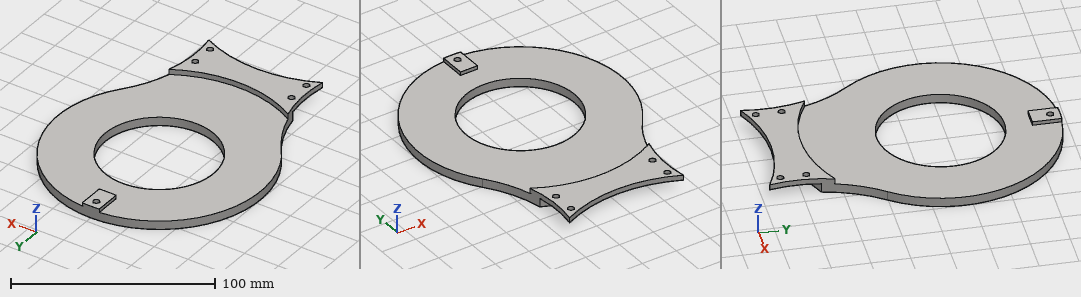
import cadquery as cq
import math

body_thickness = 5.0
body_radius = 60.0
opening_diameter = 64.0
body_end_radius = 75.0

plate_thickness = 3.0
plate_start_radius = 70.0
plate_center_y = -80.0
plate_end_radius = 75.0
plate_end_center_y = 2 * plate_center_y
waist_radius = 70.0

tab_width = 10.0
tab_length = 15.0
tab_thickness = 2.0
tab_hole_edge_distance = 5.0

screw_hole_diameter = 3.4
plate_hole_spacing_x = 57.0
plate_hole_spacing_y = 13.0

total_height = body_thickness + plate_thickness
waist_center_x = math.sqrt((body_radius + waist_radius) ** 2 - plate_center_y**2)
tangent_share = body_radius / (body_radius + waist_radius)
tangent_x = waist_center_x * tangent_share
tangent_y = plate_center_y * tangent_share

corner_center_distance = math.hypot(waist_center_x, plate_center_y - plate_end_center_y)
corner_along = (
    plate_end_radius**2 - waist_radius**2 + corner_center_distance**2
) / (2 * corner_center_distance)
corner_angle = math.atan2(plate_center_y - plate_end_center_y, waist_center_x) + math.acos(
    corner_along / plate_end_radius
)
corner_x = plate_end_radius * math.cos(corner_angle)
corner_y = plate_end_center_y + plate_end_radius * math.sin(corner_angle)


def waist_point(y):
    """Point on the right-hand waist arc at height y of the outline."""
    x = waist_center_x - math.sqrt(waist_radius**2 - (y - plate_center_y) ** 2)
    return (x, y)


def disc(radius, height):
    return cq.Workplane("XY").circle(radius).extrude(height)


def full_outline(height):
    """Ring, waisted neck and concave end, extruded from the bottom face."""
    right_mid = waist_point((tangent_y + corner_y) / 2)
    return (
        cq.Workplane("XY")
        .moveTo(tangent_x, tangent_y)
        .threePointArc((0, body_radius), (-tangent_x, tangent_y))
        .threePointArc((-right_mid[0], right_mid[1]), (-corner_x, corner_y))
        .threePointArc((0, plate_end_center_y + plate_end_radius), (corner_x, corner_y))
        .threePointArc(right_mid, (tangent_x, tangent_y))
        .close()
        .extrude(height)
    )


def make_body():
    body = full_outline(body_thickness).intersect(disc(body_end_radius, body_thickness))
    return body.cut(disc(opening_diameter / 2, body_thickness))


def make_plate():
    plate = full_outline(plate_thickness).cut(disc(plate_start_radius, plate_thickness))
    return plate.translate((0, 0, body_thickness))


def make_tab():
    """Rectangular tab whose outer end follows the ring's edge."""
    tab = (
        cq.Workplane("XY")
        .center(0, body_radius - tab_length / 2)
        .rect(tab_width, tab_length)
        .extrude(tab_thickness)
        .intersect(disc(body_radius, tab_thickness))
    )
    return tab.translate((0, 0, body_thickness))


def make_screw_holes():
    """Through-holes: four in the plate and one in the tab."""
    plate_holes = [
        (side_x * plate_hole_spacing_x / 2, plate_center_y + side_y * plate_hole_spacing_y / 2)
        for side_x in (-1, 1)
        for side_y in (-1, 1)
    ]
    tab_hole = (0, body_radius - tab_hole_edge_distance)
    return (
        cq.Workplane("XY")
        .pushPoints(plate_holes + [tab_hole])
        .circle(screw_hole_diameter / 2)
        .extrude(total_height)
    )


result = make_body().union(make_plate()).union(make_tab()).cut(make_screw_holes())